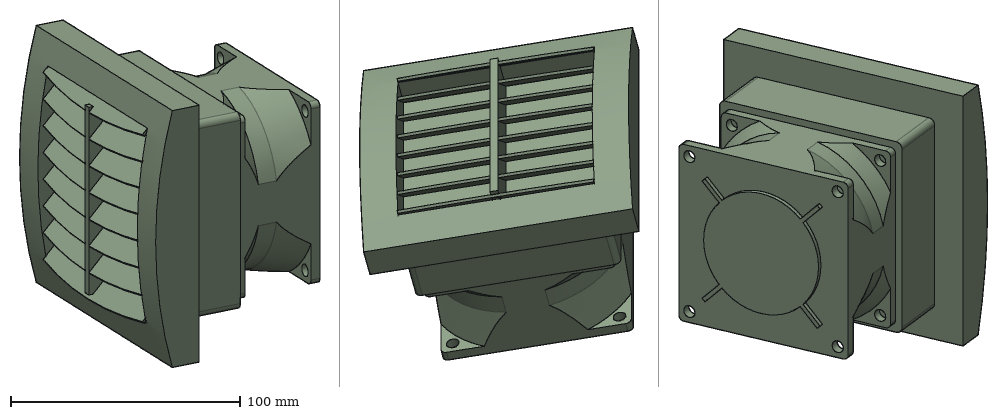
import cadquery as cq
import math

total_depth = 95.0
fan_back = 92.9
duct_back = 51.0
frame_back = 22.2

frame_size = 120.0
frame_edge_depth = 8.8
frame_crown_depth = 0.4

opening_size = 87.6
opening_floor = 16.8
bar_width = 3.5
slat_count = 8
slat_pitch = 12.5
slat_angle = 45.0
slat_thickness = 1.3
slat_bow = 4.2
top_slat_tip = 41.5

duct_size = 91.5
duct_corner_radius = 3.0

fan_size = 85.0
fan_corner_radius = 2.5
front_flange_back = 55.3
waist_front = 61.9
waist_back = 71.0
rear_flange_front = 88.3
waist_radius = 43.5
flare_radius = 48.4
screw_hole_diameter = 5.5
screw_hole_offset = 37.2

motor_disc_radius = 28.8
arm_width = 2.0
arm_reach = 40.8


def square_block(size, front, back):
    """Square block centred on the Y axis between two depths."""
    return cq.Workplane("XY").box(size, back - front, size).translate((0, (front + back) / 2, 0))


def make_frame():
    half = frame_size / 2
    profile = (
        cq.Workplane("YZ")
        .moveTo(frame_back, -half)
        .lineTo(frame_edge_depth, -half)
        .threePointArc((frame_crown_depth, 0), (frame_edge_depth, half))
        .lineTo(frame_back, half)
        .close()
    )
    frame = profile.extrude(half, both=True)
    return frame.cut(square_block(opening_size, 0, opening_floor))


def make_slat(tip_height):
    """Plate sloping down towards the front, its front edge bowed outwards."""
    slope = math.radians(slat_angle)
    half = opening_size / 2
    length = opening_floor / math.cos(slope)
    upper_face = cq.Plane(
        origin=(0, 0, tip_height),
        xDir=(1, 0, 0),
        normal=(0, -math.sin(slope), math.cos(slope)),
    )
    return (
        cq.Workplane(upper_face)
        .moveTo(-half, slat_bow)
        .threePointArc((0, 0), (half, slat_bow))
        .lineTo(half, length)
        .lineTo(-half, length)
        .close()
        .extrude(-slat_thickness)
    )


def make_centre_bar():
    bar = cq.Workplane("XY").box(bar_width, opening_floor, opening_size)
    return bar.translate((0, opening_floor / 2, 0))


def make_duct():
    return square_block(duct_size, frame_back, duct_back).edges("|Y").fillet(duct_corner_radius)


def make_fan_housing():
    block = square_block(fan_size, duct_back, fan_back).edges("|Y").fillet(fan_corner_radius)

    clear_radius = fan_size
    corner_cutter = (
        cq.Workplane("XY")
        .moveTo(flare_radius, front_flange_back)
        .lineTo(waist_radius, waist_front)
        .lineTo(waist_radius, waist_back)
        .lineTo(flare_radius, rear_flange_front)
        .lineTo(clear_radius, rear_flange_front)
        .lineTo(clear_radius, front_flange_back)
        .close()
        .revolve(360, (0, 0, 0), (0, 1, 0))
    )
    screw_holes = (
        cq.Workplane("XZ", origin=(0, fan_back, 0))
        .rect(2 * screw_hole_offset, 2 * screw_hole_offset, forConstruction=True)
        .vertices()
        .circle(screw_hole_diameter / 2)
        .extrude(fan_back - duct_back)
    )
    return block.cut(corner_cutter).cut(screw_holes)


def make_motor_mount():
    thickness = total_depth - fan_back
    back_plane = cq.Workplane("XZ", origin=(0, total_depth, 0))
    mount = back_plane.circle(motor_disc_radius).extrude(thickness)
    for angle in (45, 135):
        arms = back_plane.transformed(rotate=(0, 0, angle)).rect(2 * arm_reach, arm_width).extrude(thickness)
        mount = mount.union(arms)
    return mount


result = make_frame().union(make_centre_bar())
for index in range(slat_count):
    result = result.union(make_slat(top_slat_tip - index * slat_pitch))
result = result.union(make_duct()).union(make_fan_housing()).union(make_motor_mount())